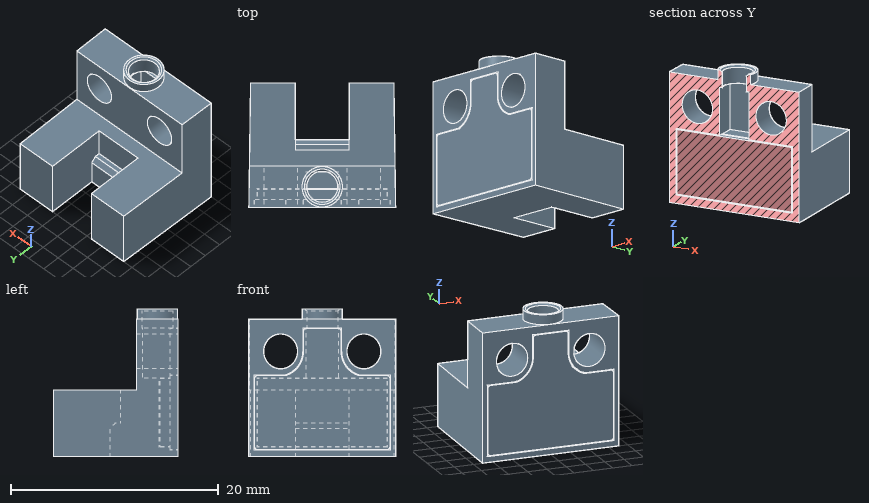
import cadquery as cq
import math

front_width = 14.15
side_draft = 0.8
total_depth = 12.0
plate_depth = 4.0
plate_height = 13.2
arm_height = 6.4
total_height = 14.2

slot_width = 5.17
slot_floor_y = 5.52
step_depth = 0.53
step_chamfer = 0.5
step_top_z = arm_height / 2
step_y = slot_floor_y + step_depth + step_chamfer

hole_x = 4.0
hole_z = 10.11
hole_radius_x = 1.62
hole_radius_z = 1.66

collar_y = plate_depth / 2
collar_radius = 1.95
bore_radius = 1.49
mouth_radius = 1.7
mouth_depth = 0.2

recess_depth = 0.78
recess_half_width = 6.57
recess_bottom = 0.61
shoulder_z = 7.85
neck_half_width = 1.87
neck_top = 12.38
flare_radius = 2.37
cover_gap = 0.07
cover_corner_radius = 0.25

pocket_ledge = 0.28
pocket_back_y = 1.82
pocket_half_width = recess_half_width - pocket_ledge
pocket_bottom = recess_bottom + pocket_ledge
pocket_top = shoulder_z - pocket_ledge
board_gap = 0.05
chamber_half_width = 1.58
chamber_back_y = 3.44


def block(half_width, y_front, y_back, z_bottom, z_top):
    """Block centred on X = 0 between the given Y and Z limits."""
    base = cq.Workplane("XY", (0, y_front, z_bottom))
    return base.box(2 * half_width, y_back - y_front, z_top - z_bottom, centered=(True, False, False))


def mirrored_x(distance):
    """The two points at hole height, one on each side of X = 0."""
    return [(-distance, hole_z), (distance, hole_z)]


def cover_shape(gap):
    """Plate of recess depth whose neck flares out to the shoulders, set in by the gap."""
    shoulder = shoulder_z - gap
    base = block(recess_half_width - gap, 0, recess_depth, recess_bottom + gap, shoulder)
    column = block(neck_half_width - gap, 0, recess_depth, hole_z, neck_top - gap)

    arc_x = neck_half_width + flare_radius
    arc_radius = flare_radius + gap
    arc_cutters = cq.Workplane("XZ").pushPoints(mirrored_x(arc_x)).circle(arc_radius).extrude(-recess_depth)
    shoulder_x = arc_x - math.sqrt(arc_radius**2 - (hole_z - shoulder) ** 2)
    flare = block(shoulder_x, 0, recess_depth, shoulder, hole_z).cut(arc_cutters)
    return base.union(flare).union(column).clean()


def make_mounting_holes():
    ellipses = cq.Workplane("XZ").pushPoints(mirrored_x(hole_x)).ellipse(hole_radius_x, hole_radius_z)
    return ellipses.extrude(-plate_depth)


def make_stepped_block():
    """Plate and arms, narrowing towards the back."""
    back_half_width = front_width / 2 - total_depth * math.tan(math.radians(side_draft))
    plan = [
        (-front_width / 2, 0),
        (front_width / 2, 0),
        (back_half_width, total_depth),
        (-back_half_width, total_depth),
    ]
    body = cq.Workplane("XY").polyline(plan).close().extrude(plate_height)
    return body.cut(block(front_width, plate_depth, total_depth, arm_height, plate_height))


def make_slot():
    """Opening between the arms, less the chamfered step left on its floor."""
    slot = block(slot_width / 2, slot_floor_y, total_depth, 0, arm_height)
    step = block(slot_width / 2, slot_floor_y, step_y, 0, step_top_z)
    step = step.edges(">Y and >Z").chamfer(step_chamfer)
    return slot.cut(step)


def make_collar():
    base = cq.Workplane("XY", (0, collar_y, plate_height))
    return base.circle(collar_radius).extrude(total_height - plate_height)


def make_cable_bore():
    """Bore from the collar down to the chamber, with a chamfered mouth."""
    bore = cq.Workplane("XY", (0, collar_y, neck_top)).circle(bore_radius).extrude(total_height - neck_top)
    mouth_base = cq.Vector(0, collar_y, total_height - mouth_depth)
    mouth = cq.Solid.makeCone(bore_radius, mouth_radius, mouth_depth, mouth_base)
    return bore.union(cq.Workplane(mouth))


def make_housing():
    board_pocket = block(pocket_half_width, recess_depth, pocket_back_y, pocket_bottom, pocket_top)
    chamber = block(chamber_half_width, recess_depth, chamber_back_y, pocket_top, neck_top)
    return (
        make_stepped_block()
        .cut(make_slot())
        .cut(make_mounting_holes())
        .union(make_collar())
        .cut(cover_shape(0))
        .cut(board_pocket)
        .cut(chamber)
        .cut(make_cable_bore())
    )


def make_cover():
    """Flush front cover with its six outer corners rounded."""
    corners = "|Y and (<X or >X or <Z or >Z)"
    return cover_shape(cover_gap).edges(corners).fillet(cover_corner_radius)


def make_board():
    """Circuit board lying against the back of the cover."""
    return block(
        pocket_half_width - board_gap,
        recess_depth,
        pocket_back_y - board_gap,
        pocket_bottom + board_gap,
        pocket_top - board_gap,
    )


housing = make_housing()
cover = make_cover()
board = make_board()

result = cq.Compound.makeCompound([
    *housing.solids().vals(),
    *cover.solids().vals(),
    *board.solids().vals(),
])